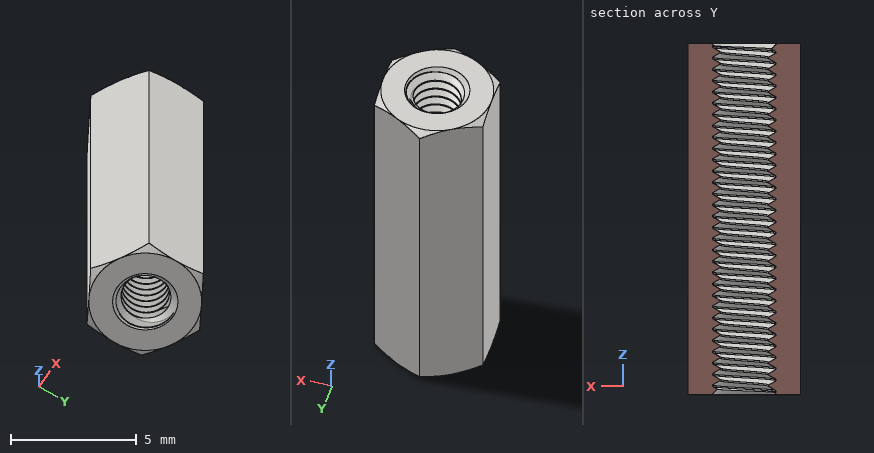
import cadquery as cq
import math

length = 14.0
across_flats = 4.5
half_side_angle = 30.0
across_corners = across_flats / math.cos(math.radians(half_side_angle))

end_face_diameter = across_flats
corner_chamfer_angle = 30.0

major_diameter = 2.5
pitch = 0.45
crest_diameter = 1.92
root_flat = pitch / 8
flank_angle = 30.0
flank_slope = math.tan(math.radians(flank_angle))
thread_start_angle = 65.0

mouth_diameter = 2.6
mouth_half_angle = 45.0

overlap = 0.03


def hexagon_body():
    """Hexagonal bar with flats facing +X and -X and cone-cut corners."""
    bar = (
        cq.Workplane("XY")
        .polygon(6, across_corners)
        .extrude(length)
        .rotate((0, 0, 0), (0, 0, 1), half_side_angle)
    )
    face_radius = end_face_diameter / 2
    outer_radius = across_corners
    drop = (outer_radius - face_radius) * math.tan(math.radians(corner_chamfer_angle))
    envelope = (
        cq.Workplane("XZ")
        .moveTo(0, 0)
        .lineTo(face_radius, 0)
        .lineTo(outer_radius, drop)
        .lineTo(outer_radius, length - drop)
        .lineTo(face_radius, length)
        .lineTo(0, length)
        .close()
        .revolve(360, (0, 0, 0), (0, 1, 0))
    )
    return bar.intersect(envelope)


def bore():
    """Plain through bore at the thread crests."""
    return cq.Workplane("XY").circle(crest_diameter / 2).extrude(length)


def countersink():
    """Cone that opens the lower mouth of the bore."""
    mouth_radius = mouth_diameter / 2
    return (
        cq.Workplane("XZ")
        .lineTo(-mouth_radius, 0)
        .lineTo(0, mouth_radius / math.tan(math.radians(mouth_half_angle)))
        .close()
        .revolve(360, (0, 0, 0), (0, 1, 0))
    )


def thread_groove():
    """Helical 60 degree groove that overruns both ends of the bar by one pitch."""
    root_radius = major_diameter / 2
    inner_radius = crest_diameter / 2 - overlap
    root_half = root_flat / 2
    inner_half = root_half + (root_radius - inner_radius) * flank_slope
    path = cq.Wire.makeHelix(pitch, length + 2 * pitch, root_radius)
    groove = (
        cq.Workplane("XZ")
        .moveTo(inner_radius, -inner_half)
        .lineTo(root_radius, -root_half)
        .lineTo(root_radius, root_half)
        .lineTo(inner_radius, inner_half)
        .close()
        .sweep(cq.Workplane(obj=path), isFrenet=True)
    )
    return groove.rotate((0, 0, 0), (0, 0, 1), thread_start_angle).translate((0, 0, -pitch))


lower_countersink = countersink()
upper_countersink = lower_countersink.mirror("XY").translate((0, 0, length))

result = hexagon_body().cut(thread_groove()).cut(bore())
result = result.cut(lower_countersink).cut(upper_countersink)